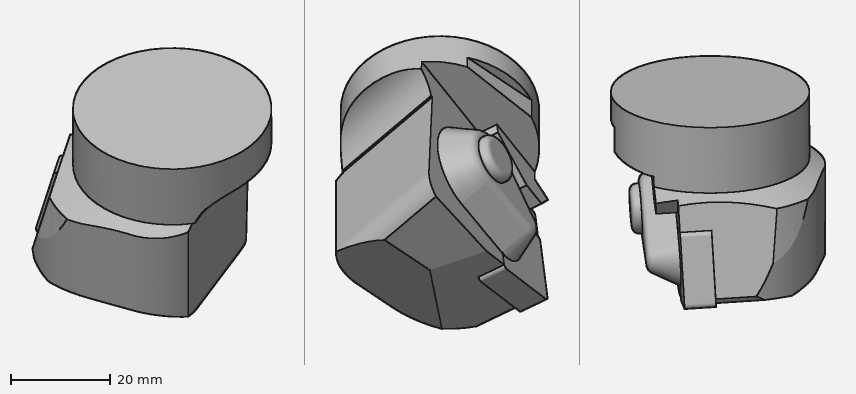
import cadquery as cq
import math


shank_radius = 20.0
shank_height = 14.1
flare_radius = 25.85
flare_bottom = -16.65
head_bottom = -40.65
far = 97.75

wall_front = -23.0
wall_left_radius = 20.0
wall_left_center_x = -7.75
wall_right_radius = 13.2
wall_right_center_x = 1.6
wall_right_x = 11.85
wall_back = 29.3
bottom_corner_height = 4.9
bottom_corner_setback = 2.7
bottom_corner_mid = (11.05, -38.7)
front_slope_start_y = -6.5
front_slope_start_rise = 6.1

back_flat_y = 18.05
back_flat_top = -5.65

rake_per_x = 0.244
rake_per_z = 0.047
edge_fall = 0.26
side_lean = 0.243

insert_corner = (-29.1, 0.0, -35.9)
insert_side = 15.65
insert_thickness = 6.35
insert_corner_radius = 1.0
insert_overhang = 0.7
nose_chamfer = 1.0

ledge_thickness = 4.4
ledge_points = [(2.5, 21.5), (5.25, 19.1), (10.2, 21.05), (18.95, 29.5)]
ceiling_start = (6.05, 26.4)
ceiling_slope = 0.395

clamp_center = (26.15, 17.85)
clamp_radius = 10.0
clamp_height = 6.6
clamp_taper = 28.0
clamp_rim_fillet = 1.95
clamp_nose_center = (13.95, 9.05)
clamp_nose_radius = 5.85
screw_head_diameter = 10.15
screw_head_height = 1.95
screw_head_fillet = 1.45

rake_plane = cq.Plane(
    origin=insert_corner,
    xDir=(1, rake_per_x - rake_per_z * edge_fall, -edge_fall),
    normal=(rake_per_x, -1, rake_per_z),
)


def rake_workplane(depth=0.0):
    return cq.Workplane(rake_plane).workplane(offset=depth)


def make_wall_prism():
    left_center_y = wall_front + wall_left_radius
    right_center_y = wall_front + wall_right_radius
    right_end_offset = wall_right_x - wall_right_center_x
    right_end_y = right_center_y - math.sqrt(wall_right_radius**2 - right_end_offset**2)
    half_angle = math.asin(right_end_offset / wall_right_radius) / 2
    right_mid = (
        wall_right_center_x + wall_right_radius * math.sin(half_angle),
        right_center_y - wall_right_radius * math.cos(half_angle),
    )
    left_x = wall_left_center_x - wall_left_radius
    diagonal = wall_left_radius * math.sqrt(0.5)
    left_mid = (wall_left_center_x - diagonal, left_center_y - diagonal)
    return (
        cq.Workplane("XY", origin=(0, 0, head_bottom))
        .moveTo(wall_left_center_x, wall_front)
        .lineTo(wall_right_center_x, wall_front)
        .threePointArc(right_mid, (wall_right_x, right_end_y))
        .lineTo(wall_right_x, wall_back)
        .lineTo(left_x, wall_back)
        .lineTo(left_x, left_center_y)
        .threePointArc(left_mid, (wall_left_center_x, wall_front))
        .close()
        .extrude(-shank_height - head_bottom)
    )


def make_flare():
    """Neck cone standing on a round column that leans with the flank."""
    cone_height = -shank_height - flare_bottom
    cone = cq.Workplane("XY", origin=(0, 0, flare_bottom)).add(
        cq.Solid.makeCone(flare_radius, shank_radius, cone_height, pnt=cq.Vector(0, 0, flare_bottom))
    )
    drop = flare_bottom - head_bottom
    column = (
        cq.Workplane("XY", origin=(0, 0, flare_bottom))
        .circle(flare_radius)
        .workplane(offset=-drop)
        .center(-side_lean * drop, 0)
        .circle(flare_radius)
        .loft(ruled=True)
    )
    return cone.union(column)


def make_flank_clip():
    """Space kept by the flank and the end face, set back from the insert edges."""
    return (
        rake_workplane(-far / 2)
        .moveTo(insert_overhang + nose_chamfer, insert_overhang)
        .lineTo(far, insert_overhang)
        .lineTo(far, far)
        .lineTo(insert_overhang, far)
        .lineTo(insert_overhang, insert_overhang + nose_chamfer)
        .close()
        .extrude(far)
    )


def make_front_slope_cut():
    return (
        cq.Workplane("YZ", origin=(-far / 2, 0, 0))
        .moveTo(front_slope_start_y, head_bottom)
        .lineTo(wall_front, head_bottom + front_slope_start_rise)
        .lineTo(wall_front, head_bottom)
        .close()
        .extrude(far)
    )


def make_bottom_corner_cut():
    """Rounds the lower right corner of the head with a convex arc."""
    return (
        cq.Workplane("XZ", origin=(0, far / 2, 0))
        .moveTo(wall_right_x, head_bottom + bottom_corner_height)
        .threePointArc(bottom_corner_mid, (wall_right_x - bottom_corner_setback, head_bottom))
        .lineTo(wall_right_x, head_bottom)
        .close()
        .extrude(far)
    )


def make_side_relief():
    """Concave round on the right, from the head wall out to the shank edge."""
    radius = shank_radius - wall_right_x
    relief_bottom = flare_bottom
    diagonal = radius * math.sqrt(0.5)
    return (
        cq.Workplane("XZ", origin=(0, far / 2, 0))
        .moveTo(wall_right_x, relief_bottom)
        .threePointArc(
            (shank_radius - diagonal, relief_bottom + diagonal),
            (shank_radius, relief_bottom + radius),
        )
        .lineTo(far, relief_bottom + radius)
        .lineTo(far, relief_bottom)
        .close()
        .extrude(far)
    )


def make_back_flat_cut():
    return (
        cq.Workplane("XY", origin=(0, back_flat_y, back_flat_top))
        .rect(far, far, centered=(True, False))
        .extrude(-far)
    )


def ceiling_point(x):
    return (x, ceiling_start[1] + ceiling_slope * (x - ceiling_start[0]))


def make_chip_gash():
    """Open space behind the rake face, leaving the ledge above the insert."""
    behind_ledge = (
        rake_workplane(-far)
        .polyline([(-far, -far), (far, -far), ceiling_point(far), ceiling_point(-far)])
        .close()
        .extrude(far - ledge_thickness)
    )
    ledge_outer, ledge_end = ledge_points[0], ledge_points[-1]
    below_ledge = (
        rake_workplane(-ledge_thickness)
        .polyline(
            [(-far, -far), (far, -far), ceiling_point(far), ceiling_point(ledge_end[0])]
            + ledge_points[::-1]
            + [(-far, ledge_outer[1] + far)]
        )
        .close()
        .extrude(ledge_thickness)
    )
    return behind_ledge.union(below_ledge)


def make_clamp():
    """Tapered pear-shaped clamp with a screw head, standing on the rake face."""
    dx = clamp_nose_center[0] - clamp_center[0]
    dy = clamp_nose_center[1] - clamp_center[1]
    axis = math.atan2(dy, dx)
    swing = math.acos((clamp_radius - clamp_nose_radius) / math.hypot(dx, dy))

    def on_circle(center, radius, angle):
        return (center[0] + radius * math.cos(angle), center[1] + radius * math.sin(angle))

    body = (
        cq.Workplane(rake_plane)
        .moveTo(*on_circle(clamp_center, clamp_radius, axis + swing))
        .threePointArc(
            on_circle(clamp_center, clamp_radius, axis + math.pi),
            on_circle(clamp_center, clamp_radius, axis - swing),
        )
        .lineTo(*on_circle(clamp_nose_center, clamp_nose_radius, axis - swing))
        .threePointArc(
            on_circle(clamp_nose_center, clamp_nose_radius, axis),
            on_circle(clamp_nose_center, clamp_nose_radius, axis + swing),
        )
        .close()
        .extrude(-clamp_height, taper=clamp_taper)
        .faces(cq.selectors.DirectionMinMaxSelector(-rake_plane.zDir, True))
        .edges()
        .fillet(clamp_rim_fillet)
    )
    screw_head = (
        rake_workplane(-clamp_height)
        .center(*clamp_center)
        .circle(screw_head_diameter / 2)
        .extrude(-screw_head_height)
        .faces(cq.selectors.DirectionMinMaxSelector(-rake_plane.zDir, True))
        .edges()
        .fillet(screw_head_fillet)
    )
    return body.union(screw_head)


def make_insert():
    return (
        cq.Workplane(rake_plane)
        .rect(insert_side, insert_side, centered=False)
        .extrude(insert_thickness)
        .edges(cq.selectors.ParallelDirSelector(rake_plane.zDir))
        .fillet(insert_corner_radius)
    )


def make_holder(insert):
    head = make_wall_prism().intersect(make_flare()).intersect(make_flank_clip())
    head = head.cut(make_front_slope_cut()).cut(make_bottom_corner_cut())
    shank = cq.Workplane("XY").circle(shank_radius).extrude(-shank_height)
    body = shank.union(head)
    body = body.cut(make_side_relief()).cut(make_back_flat_cut()).cut(make_chip_gash())
    return body.union(make_clamp()).cut(insert)


insert = make_insert()
holder = make_holder(insert)
result = cq.Compound.makeCompound([holder.val(), insert.val()])